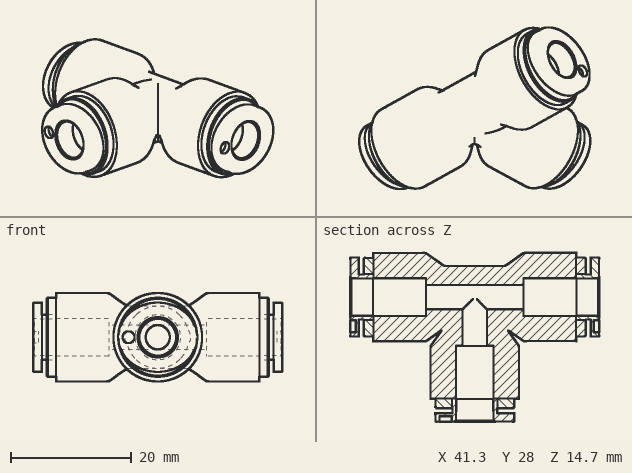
import cadquery as cq


reach = 41.3 / 2

barrel_radius = 14.7 / 2
tube_radius = 5.15
cone_start = 5.05
cone_end = 8.1
flare_blend = 1.0
barrel_end = 16.85
passage_radius = 4.0 / 2
socket_radius = 6.2 / 2
socket_floor = cone_end

collar_radius = 13.15 / 2
collar_end = 18.4
collar_chamfer = 0.2

neck_radius = 7.5 / 2
flange_width = 2 * collar_radius
flange_height = 11.5
flange_thickness = 1.45
flange_rounding = 0.2

mouth_radius = 3.35
mouth_depth = 0.2
lead_in_radius = socket_radius
throat_radius = 3.05
throat_start = collar_end

mark_radius = 2.0 / 2
mark_depth = 0.9
mark_offset = 4.85

ports = [
    (0, 0),
    (90, 0),
    (-90, 180),
]


def cylinder(radius, start, end):
    """Cylinder along -Y between two distances from the centre."""
    return cq.Workplane("XZ").workplane(offset=start).circle(radius).extrude(end - start)


def revolved(profile):
    """Solid turned about the Y axis from (radius, y) points."""
    return cq.Workplane("XY").polyline(profile).close().revolve(360, (0, 0, 0), (0, 1, 0))


def turned(shape, angle):
    """Swing a branch-port shape about Z onto another port."""
    return shape.rotate((0, 0, 0), (0, 0, 1), angle)


def rolled(shape, angle):
    """Roll a branch-port shape about its own axis."""
    return shape.rotate((0, 0, 0), (0, 1, 0), angle)


def make_arm():
    """One solid arm of the housing: tube, flare and barrel."""
    arm = revolved([
        (0, 0),
        (tube_radius, 0),
        (tube_radius, -cone_start),
        (barrel_radius, -cone_end),
        (barrel_radius, -barrel_end),
        (0, -barrel_end),
    ])
    return arm.faces("%CONE").edges("%CIRCLE").fillet(flare_blend)


def make_housing():
    """Three arms joined at the centre, with a passage and a socket in each."""
    arm = make_arm()
    passage = cylinder(passage_radius, 0, barrel_end)
    socket = cylinder(socket_radius, socket_floor, barrel_end)
    body = cq.Workplane("XY")
    for turn, _ in ports:
        body = body.union(turned(arm, turn))
    for turn, _ in ports:
        body = body.cut(turned(passage, turn))
        body = body.cut(turned(socket, turn))
    return body


def make_collar():
    """Ring around the sleeve neck, chamfered on its outer rim."""
    collar = cylinder(collar_radius, barrel_end, collar_end)
    collar = collar.faces("<Y").edges().chamfer(collar_chamfer)
    return collar.cut(cylinder(neck_radius, barrel_end, collar_end))


def make_sleeve_bore():
    """Cutter for the throat, the tapered lead-in and the mouth chamfer."""
    return revolved([
        (0, -barrel_end),
        (throat_radius, -barrel_end),
        (throat_radius, -throat_start),
        (lead_in_radius, -reach + mouth_depth),
        (mouth_radius, -reach),
        (0, -reach),
    ])


def make_sleeve():
    """Release sleeve with its elliptical flange, stepped bore and round mark."""
    flange_start = reach - flange_thickness
    flange = (
        cq.Workplane("XZ")
        .workplane(offset=flange_start)
        .ellipse(flange_width / 2, flange_height / 2)
        .extrude(flange_thickness)
    )
    flange = flange.faces("<Y").edges().fillet(flange_rounding)
    sleeve = flange.union(cylinder(neck_radius, barrel_end, flange_start))
    mark = cylinder(mark_radius, reach - mark_depth, reach).translate((-mark_offset, 0, 0))
    return sleeve.cut(make_sleeve_bore()).cut(mark)


housing = make_housing()

collars = []
sleeves = []
for turn, roll in ports:
    collars.append(turned(make_collar(), turn))
    sleeves.append(turned(rolled(make_sleeve(), roll), turn))

result = cq.Compound.makeCompound([
    housing.solids().val(),
    *[collar.solids().val() for collar in collars],
    *[sleeve.solids().val() for sleeve in sleeves],
])